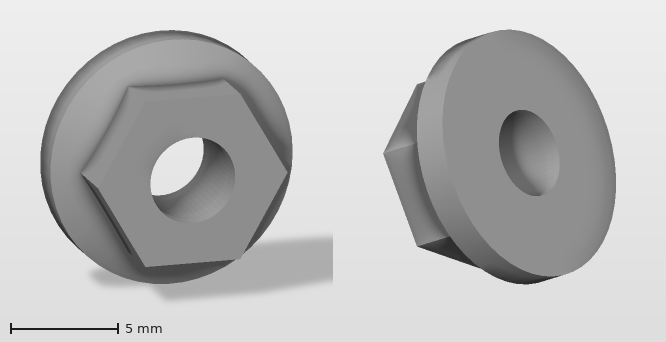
import cadquery as cq
import math

flange_diameter = 11.8
flange_rim_thickness = 1.64
cone_angle = 25.0
nut_height = 5.0
hex_across_flats = 8.0
bore_diameter = 4.13

flange_radius = flange_diameter / 2
bore_radius = bore_diameter / 2
hex_across_corners = hex_across_flats / math.cos(math.radians(30))
cone_rise = (flange_radius - bore_radius) * math.tan(math.radians(cone_angle))
cone_top = flange_rim_thickness + cone_rise


def make_flange():
    """Disc with a conical upper face that continues inward under the hexagon."""
    profile = (
        cq.Workplane("XY")
        .moveTo(0, 0)
        .lineTo(0, flange_radius)
        .lineTo(flange_rim_thickness, flange_radius)
        .lineTo(cone_top, bore_radius)
        .lineTo(cone_top, 0)
        .close()
    )
    return profile.revolve(360, (0, 0, 0), (1, 0, 0))


def make_hexagon():
    """Hexagonal prism with two corners on the Y axis."""
    return cq.Workplane("YZ").polygon(6, hex_across_corners).extrude(nut_height)


def make_bore():
    """Cylinder for the plain through hole."""
    return cq.Workplane("YZ").circle(bore_radius).extrude(nut_height)


result = make_flange().union(make_hexagon()).cut(make_bore())